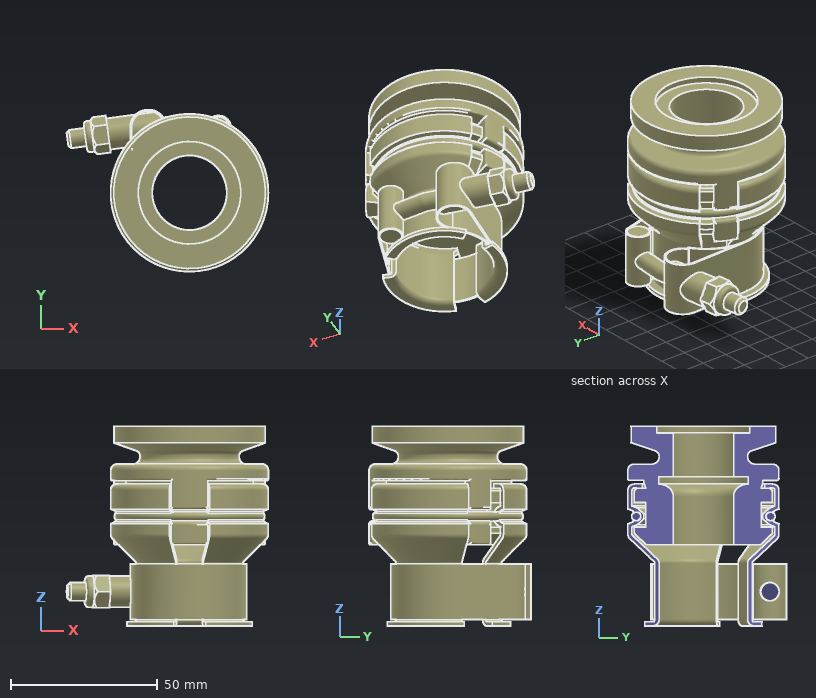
import cadquery as cq
import math

SHEET = 1.5
CLAW_COUNT = 3
PITCH = 360 / CLAW_COUNT
FIRST_GAP_ANGLE = -90
GAP_HALF_ANGLE = 14.75
FRONT_TAB = (-103.7, -76.3)
RIGHT_TAB = (15.6, 33.6)
LEFT_TAB = (180 - RIGHT_TAB[1], 180 - RIGHT_TAB[0])
TABS = [FRONT_TAB, RIGHT_TAB, LEFT_TAB]

RING_WIRE_R = 1.58
RING_OUTER_R = 25.75
RING_Z = 37.5
RING_CENTRE_R = RING_OUTER_R - RING_WIRE_R

CLAW_R = 53.98 / 2
CLAW_TOP_Z = 48.65
CLAW_LIP_R = 22.2
CLAW_BEND_R = 2.2
WAIST_R = 25.3
WAIST_HALF_HEIGHT = 1.8
WAIST_SLOPE = 0.7
WRAP_R = 21.6
WRAP_HALF_HEIGHT = 0.85
WRAP_ROOT = 2.9
CONE_TOP_Z = 30.45
CONE_BEND_R = 2.4
SLEEVE_TOP_Z = 21.8
SLEEVE_R = 33.66 / 2 + SHEET
FLARE_R = 21.45

TOP_Z = 68.33
FLANGE_R = 51.82 / 2
FLANGE_EDGE_Z = 62.6
NECK_R = 34.04 / 2
NECK_FOOT_ROUND = 2.2
NECK_TOP_ROUND = 1.7
CONE_FOOT_Z = 59.43
CAP_R = CLAW_R
CAP_TOP_Z = 55.45
CAP_BOTTOM_Z = 49.7
CAP_EDGE_R = 2.25
EDGE_ROUND = 0.7
EDGE_MARGIN = 0.01
TAB_BOTTOM_Z = 27.8
TAB_GROOVE_TOP_Z = 39.7
TAB_GROOVE_BOTTOM_Z = 36.0
TAB_GROOVE_TOP_ROUND = 1.0
TAB_GROOVE_BOTTOM_ROUND = 1.3
HUB_R = 21.2
HUB_FOOT_R = 21.0
COLLAR_R = 24.9
LOWER_COLLAR_Z = (31.7, 33.8)
UPPER_COLLAR_Z = (42.2, CLAW_TOP_Z - SHEET)
COLLAR_CHAMFER = 0.9
SPIGOT_R = 21.75
SPIGOT_Z = 49.0
BORE_R = 25.4 / 2
RECESS_R = 35.05 / 2
RECESS_DEPTH = 2.26
SEAL_GROOVE_R = NECK_R
SEAL_GROOVE_Z = (48.6, 51.0)
SEAL_LIP_ROUND = 4.2

BAND_INNER_R = 38.1 / 2
BAND_R = 39.12 / 2
BAND_T = BAND_R - BAND_INNER_R
BAND_Z = 2.25
BAND_WIDTH = 19.05
BOLT_Z = BAND_Z + BAND_WIDTH / 2
BARREL_LOOP = (-14.1, 22.205)
BARREL_LOOP_R = 11.43 / 2 + BAND_T
PIN_R = 7.62 / 2
PIN_LOOP = (9.9, 22.1)
PIN_LOOP_R = PIN_R + BAND_T

BOLT_TIP = (-41.75, 18.2)
BOLT_TILT = 7.6
BOLT_R = 6.35 / 2
BOLT_CHAMFER = 1.0
BOLT_BEND = 38.5
NUT_START = 6.2
NUT_HEX_START = 8.6
NUT_END = 14.1
NUT_FLATS = 11.11
NUT_COLLAR_R = 10.79 / 2
NUT_COLLAR_ROUND = 1.2
NUT_CHAMFER_ANGLE = 45
BARREL_R = 10.79 / 2
BARREL_END = 27.5


def rounded_outline(corners):
    """Closed radius-height outline; each corner is (radius, height) or (radius, height, rounding)."""
    outline = []
    for i, corner in enumerate(corners):
        here = cq.Vector(corner[0], corner[1])
        rounding = corner[2] if len(corner) > 2 else 0
        if rounding == 0:
            outline.append((here,))
            continue
        before = cq.Vector(*corners[i - 1][:2])
        after = cq.Vector(*corners[(i + 1) % len(corners)][:2])
        back = (before - here).normalized()
        ahead = (after - here).normalized()
        half_angle = back.getAngle(ahead) / 2
        setback = rounding / math.tan(half_angle)
        to_middle = rounding / math.sin(half_angle) - rounding
        middle = here + (back + ahead).normalized() * to_middle
        outline.append((here + back * setback, middle, here + ahead * setback))
    flat = [[(point.x, point.y) for point in stretch] for stretch in outline]
    sketch = cq.Workplane("XZ").moveTo(*flat[0][-1])
    for stretch in flat[1:] + flat[:1]:
        sketch = sketch.lineTo(*stretch[0])
        if len(stretch) == 3:
            sketch = sketch.threePointArc(*stretch[1:])
    return sketch.close()


def turned(corners, start=0, sweep=360):
    """Outline turned about the Z axis from the start angle through the sweep."""
    solid = rounded_outline(corners).revolve(sweep, (0, 0), (0, 1))
    return solid.rotate((0, 0, 0), (0, 0, 1), start)


def rectangle(inner, outer, bottom, top):
    return [(inner, bottom), (outer, bottom), (outer, top), (inner, top)]


def along_bolt(solid):
    """Move a solid built on the X axis, tip at the origin, onto the tilted bolt axis."""
    return solid.rotate((0, 0, 0), (0, 0, 1), BOLT_TILT).translate((*BOLT_TIP, BOLT_Z))


def rod(radius, start, end):
    return cq.Workplane("YZ").workplane(offset=start).circle(radius).extrude(end - start)


GAP_ANGLES = [FIRST_GAP_ANGLE + i * PITCH for i in range(CLAW_COUNT)]


def make_ring():
    wire = cq.Workplane("XZ").center(RING_CENTRE_R, RING_Z).circle(RING_WIRE_R)
    return wire.revolve(360, (-RING_CENTRE_R, 0), (-RING_CENTRE_R, 1))


def is_on_rim(edge):
    """True for the cap's lower outer edges and the tabs' outer edges."""
    middle = edge.positionAt(0.5)
    below_cap_round = middle.z < CAP_BOTTOM_Z + EDGE_MARGIN
    return below_cap_round and math.hypot(middle.x, middle.y) > CAP_R - EDGE_MARGIN


def make_crown():
    """Cap rim with three tabs hanging in the gaps between the claws."""
    crown = turned(rectangle(HUB_FOOT_R, CAP_R, TAB_BOTTOM_Z, CAP_TOP_Z - CAP_EDGE_R))
    window = rectangle(HUB_FOOT_R, CAP_R, TAB_BOTTOM_Z, CAP_BOTTOM_Z)
    for i, (_, tab_end) in enumerate(TABS):
        next_tab_start = TABS[(i + 1) % len(TABS)][0]
        crown = crown.cut(turned(window, tab_end, (next_tab_start - tab_end) % 360))
    outside = [edge for edge in crown.edges().vals() if is_on_rim(edge)]
    return crown.newObject(outside).fillet(EDGE_ROUND)


def make_passage():
    """Through bore with the flange recess and an internal groove above a rounded lip."""
    groove_bottom, groove_top = SEAL_GROOVE_Z
    recess_floor = TOP_Z - RECESS_DEPTH
    return turned([
        (0, TAB_BOTTOM_Z),
        (BORE_R, TAB_BOTTOM_Z),
        (BORE_R, groove_bottom, SEAL_LIP_ROUND),
        (SEAL_GROOVE_R, groove_bottom),
        (SEAL_GROOVE_R, groove_top),
        (BORE_R, groove_top),
        (BORE_R, recess_floor),
        (RECESS_R, recess_floor),
        (RECESS_R, TOP_Z),
        (0, TOP_Z),
    ])


def make_fitting():
    """Flanged neck, cap, tabs and the collared hub that the claws hold."""
    lower_bottom, lower_top = LOWER_COLLAR_Z
    upper_bottom, upper_top = UPPER_COLLAR_Z
    hub = turned([
        (0, TAB_BOTTOM_Z),
        (HUB_FOOT_R, TAB_BOTTOM_Z),
        (COLLAR_R, lower_bottom),
        (COLLAR_R, lower_top),
        (HUB_R, lower_top),
        (HUB_R, upper_bottom),
        (COLLAR_R, upper_bottom),
        (COLLAR_R, upper_top - COLLAR_CHAMFER),
        (COLLAR_R - COLLAR_CHAMFER, upper_top),
        (HUB_R, upper_top),
        (SPIGOT_R, SPIGOT_Z),
        (SPIGOT_R, CAP_BOTTOM_Z),
        (HUB_R, CAP_BOTTOM_Z),
        (HUB_R, CAP_TOP_Z - CAP_EDGE_R - EDGE_ROUND),
        (CAP_R, CAP_TOP_Z - CAP_EDGE_R - EDGE_ROUND),
        (CAP_R, CAP_TOP_Z, CAP_EDGE_R),
        (NECK_R, CAP_TOP_Z, NECK_FOOT_ROUND),
        (NECK_R, CONE_FOOT_Z, NECK_TOP_ROUND),
        (FLANGE_R, FLANGE_EDGE_Z),
        (FLANGE_R, TOP_Z),
        (0, TOP_Z),
    ])
    groove_top_end = TAB_GROOVE_TOP_Z + TAB_GROOVE_TOP_ROUND + EDGE_MARGIN
    groove_bottom_end = TAB_GROOVE_BOTTOM_Z - TAB_GROOVE_BOTTOM_ROUND - EDGE_MARGIN
    tab_groove = turned([
        (RING_CENTRE_R, TAB_GROOVE_BOTTOM_Z),
        (CAP_R, TAB_GROOVE_BOTTOM_Z, TAB_GROOVE_BOTTOM_ROUND),
        (CAP_R, groove_bottom_end),
        (CAP_R + EDGE_MARGIN, groove_bottom_end),
        (CAP_R + EDGE_MARGIN, groove_top_end),
        (CAP_R, groove_top_end),
        (CAP_R, TAB_GROOVE_TOP_Z, TAB_GROOVE_TOP_ROUND),
        (RING_CENTRE_R, TAB_GROOVE_TOP_Z),
    ])
    fitting = hub.union(make_crown()).cut(tab_groove).cut(make_ring())
    return fitting.cut(make_passage())


def make_claw(gap_angle):
    """Bent sheet segment that fills the space after one gap."""
    inner_r = CLAW_R - SHEET
    sleeve_inner_r = SLEEVE_R - SHEET
    waist_top = RING_Z + WAIST_HALF_HEIGHT
    waist_bottom = RING_Z - WAIST_HALF_HEIGHT
    wrap_top = RING_Z + WRAP_ROOT
    wrap_bottom = RING_Z - WRAP_ROOT
    waist_inner_r = WAIST_R - SHEET
    cone_angle = math.atan2(CLAW_R - SLEEVE_R, CONE_TOP_Z - SLEEVE_TOP_Z)
    cone_shift = SHEET * math.tan(cone_angle / 2)
    inner_bend_r = CLAW_BEND_R - SHEET
    outer_side = [
        (CLAW_LIP_R, CLAW_TOP_Z),
        (CLAW_R, CLAW_TOP_Z, CLAW_BEND_R),
        (CLAW_R, waist_top + WAIST_SLOPE),
        (WAIST_R, waist_top),
        (WAIST_R, waist_bottom),
        (CLAW_R, waist_bottom - WAIST_SLOPE),
        (CLAW_R, CONE_TOP_Z, CONE_BEND_R),
        (SLEEVE_R, SLEEVE_TOP_Z, inner_bend_r),
        (SLEEVE_R, SHEET, inner_bend_r),
        (FLARE_R, SHEET),
    ]
    inner_side = [
        (FLARE_R, 0),
        (sleeve_inner_r, 0, CLAW_BEND_R),
        (sleeve_inner_r, SLEEVE_TOP_Z + cone_shift, CLAW_BEND_R),
        (inner_r, CONE_TOP_Z + cone_shift, CONE_BEND_R - SHEET),
        (inner_r, wrap_bottom - WAIST_SLOPE),
        (waist_inner_r, wrap_bottom),
        (WRAP_R, RING_Z - WRAP_HALF_HEIGHT),
        (WRAP_R, RING_Z + WRAP_HALF_HEIGHT),
        (waist_inner_r, wrap_top),
        (inner_r, wrap_top + WAIST_SLOPE),
        (inner_r, CLAW_TOP_Z - SHEET, inner_bend_r),
        (CLAW_LIP_R, CLAW_TOP_Z - SHEET),
    ]
    start = gap_angle + GAP_HALF_ANGLE
    claw = turned(outer_side + inner_side, start, PITCH - 2 * GAP_HALF_ANGLE)
    return claw.cut(make_ring())


def band_arc(centre, outer_r, start, sweep):
    strip = turned(rectangle(outer_r - BAND_T, outer_r, BAND_Z, BAND_Z + BAND_WIDTH), start, sweep)
    return strip.translate((*centre, 0))


def polar(centre, radius, angle):
    turn = math.radians(angle)
    return (centre[0] + radius * math.cos(turn), centre[1] + radius * math.sin(turn))


def direction_of(centre):
    return math.degrees(math.atan2(centre[1], centre[0]))


def loop_strap(centre, loop_r, side):
    """Strap leaving the band at a tangent, turning round a loop and ending on the band."""
    axis = (0, 0)
    distance = math.hypot(*centre)
    toward = direction_of(centre)
    spread = math.degrees(math.acos((BAND_R - loop_r) / distance))
    tangent = toward + side * spread
    flat = [
        polar(axis, BAND_R, tangent),
        polar(centre, loop_r, tangent),
        polar(centre, loop_r - BAND_T, tangent),
        polar(axis, BAND_INNER_R, tangent),
    ]
    straight = cq.Workplane("XY").workplane(offset=BAND_Z).polyline(flat).close().extrude(BAND_WIDTH)
    turn = spread + 180
    arc_start = tangent - turn if side > 0 else tangent
    tail_length = distance - loop_r + BAND_T - BAND_INNER_R
    tail = cq.Workplane("XY").box(tail_length, BAND_T, BAND_WIDTH, centered=(False, True, False))
    tail = tail.translate((BAND_INNER_R, 0, BAND_Z)).rotate((0, 0, 0), (0, 0, 1), toward)
    return straight.union(band_arc(centre, loop_r, arc_start, turn)).union(tail)


def make_barrel():
    barrel = along_bolt(rod(BARREL_R, NUT_END, BARREL_END))
    loop_inner_r = BARREL_LOOP_R - BAND_T
    loop_space = cq.Workplane("XY").workplane(offset=BAND_Z).center(*BARREL_LOOP).circle(loop_inner_r)
    in_loop = along_bolt(rod(BARREL_R, BARREL_END, BARREL_END + 2 * BARREL_LOOP_R))
    in_loop = in_loop.intersect(loop_space.extrude(BAND_WIDTH))
    return barrel.union(in_loop).cut(make_bolt())


def make_nut():
    collar = rod(NUT_COLLAR_R, NUT_START, NUT_HEX_START).faces("<X").edges().fillet(NUT_COLLAR_ROUND)
    corner_r = NUT_FLATS / 2 / math.cos(math.pi / 6)
    hexagon = cq.Workplane("YZ").workplane(offset=NUT_HEX_START).polygon(6, 2 * corner_r)
    length = NUT_END - NUT_HEX_START
    hexagon = hexagon.extrude(length)
    end_r = NUT_COLLAR_R + length / math.tan(math.radians(NUT_CHAMFER_ANGLE))
    cone_start = cq.Vector(NUT_HEX_START, 0, 0)
    cone = cq.Solid.makeCone(NUT_COLLAR_R, end_r, length, cone_start, cq.Vector(1, 0, 0))
    nut = collar.union(hexagon.intersect(cq.Workplane(cone)))
    return along_bolt(nut).cut(make_bolt())


def make_bolt():
    """Shank, bent near its end towards the cross pin in the small loop."""
    shank = along_bolt(rod(BOLT_R, 0, BOLT_BEND).faces("<X").chamfer(BOLT_CHAMFER))
    bend = cq.Vector(*polar(BOLT_TIP, BOLT_BEND, BOLT_TILT), BOLT_Z)
    reach = cq.Vector(*PIN_LOOP, BOLT_Z) - bend
    arm = cq.Workplane(cq.Solid.makeCylinder(BOLT_R, reach.Length, bend, reach))
    elbow = cq.Workplane("XY").sphere(BOLT_R).translate(bend.toTuple())
    pin = cq.Workplane("XY").workplane(offset=BAND_Z).center(*PIN_LOOP).circle(PIN_R).extrude(BAND_WIDTH)
    return shank.union(elbow).union(arm).union(pin)


def make_band():
    start = direction_of(BARREL_LOOP)
    sweep = 360 - (start - direction_of(PIN_LOOP))
    band = band_arc((0, 0), BAND_R, start, sweep)
    band = band.union(loop_strap(BARREL_LOOP, BARREL_LOOP_R, 1))
    band = band.union(loop_strap(PIN_LOOP, PIN_LOOP_R, -1))
    return band.cut(make_bolt()).cut(make_barrel())


fitting = make_fitting()
ring = make_ring()
claws = [make_claw(angle) for angle in GAP_ANGLES]
band = make_band()
barrel = make_barrel()
nut = make_nut()
bolt = make_bolt()

result = cq.Compound.makeCompound([
    fitting.solids().val(),
    ring.solids().val(),
    *[claw.solids().val() for claw in claws],
    band.solids().val(),
    barrel.solids().val(),
    nut.solids().val(),
    bolt.solids().val(),
])